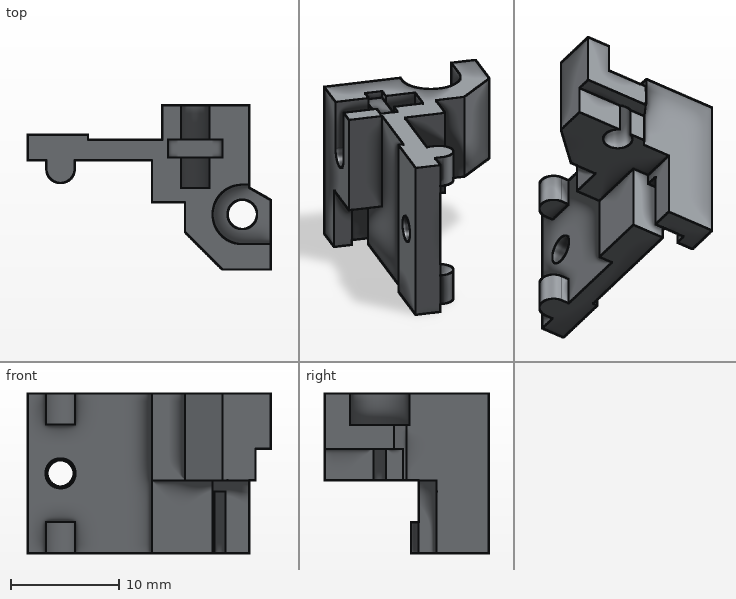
import cadquery as cq

TOTAL_LENGTH = 22.5
TOTAL_DEPTH = 15.2
HEIGHT = 14.8
MID_HEIGHT = HEIGHT / 2

PLATE_FRONT_Y = -5.1
PAD_LENGTH = 5.6
PAD_REAR_Y = -2.72
PLATE_REAR_Y = -3.2

POST_X = 3.05
POST_RADIUS = 1.325
POST_TIP_Y = -7.21
POST_HEIGHT = 2.9
PLATE_HOLE_FRONT_DIAMETER = 2.77
PLATE_HOLE_REAR_DIAMETER = 2.42

BLOCK_LEFT_X = 11.5
BLOCK_REAR_LEFT_X = 12.45
BLOCK_RIGHT_X = 20.5
BLOCK_FRONT_Y = -9.0
UPPER_BOTTOM_Z = 6.75

ARM_LEFT_X = 14.55
ARM_CHAMFER = 3.45
ARM_SLANT_START_Y = -7.63
ARM_SLANT_END_Y = -8.77
ARM_STEP_X = 21.07
ARM_STEP_Z = 9.65

SCREW_X = 19.85
SCREW_Y = -10.1
SCREW_HOLE_DIAMETER = 2.7
POCKET_RADIUS = 2.75
POCKET_DEPTH = 2.93

SLOT_X = 15.5
SLOT_RADIUS = 1.31
SLOT_FRONT_Y = -7.67
SLOT_DEPTH = 6.0
SLOT_AXIS_Z = HEIGHT - SLOT_DEPTH + SLOT_RADIUS
BAR_LENGTH = 5.0
BAR_REAR_Y = -3.2
BAR_FRONT_Y = -4.85
BAR_RECESS = 0.65

FOOT_RIGHT_X = 17.1
FOOT_FRONT_Y = -6.5
LEG_TOP_Z = 5.7
LEG_REAR_LEFT_X = 17.25
LEG_FRONT_LEFT_X = 18.3
LEG_STEP_Y = -1.7


def box(x_min, x_max, y_min, y_max, z_min, z_max):
    """Box between two opposite corners."""
    size = (x_max - x_min, y_max - y_min, z_max - z_min)
    return cq.Workplane("XY").box(*size, centered=False).translate((x_min, y_min, z_min))


def prism(points, z_min, z_max):
    """Vertical prism over an XY outline."""
    return cq.Workplane("XY").workplane(offset=z_min).polyline(points).close().extrude(z_max - z_min)


def make_plate():
    """Plate with a thicker pad at its free end, running into the block."""
    pad = box(0, PAD_LENGTH, PLATE_FRONT_Y, PAD_REAR_Y, 0, HEIGHT)
    web = box(0, FOOT_RIGHT_X, PLATE_FRONT_Y, PLATE_REAR_Y, 0, HEIGHT)
    return pad.union(web)


def make_post(z_min):
    """Post with straight flanks and a half-round tip."""
    arc_y = POST_TIP_Y + POST_RADIUS
    return (
        cq.Workplane("XY")
        .workplane(offset=z_min)
        .moveTo(POST_X - POST_RADIUS, PLATE_REAR_Y)
        .lineTo(POST_X - POST_RADIUS, arc_y)
        .threePointArc((POST_X, POST_TIP_Y), (POST_X + POST_RADIUS, arc_y))
        .lineTo(POST_X + POST_RADIUS, PLATE_REAR_Y)
        .close()
        .extrude(POST_HEIGHT)
    )


def make_plate_hole():
    """Cone through the pad, wider at the front."""
    return (
        cq.Workplane("XZ", origin=(POST_X, PAD_REAR_Y, MID_HEIGHT))
        .circle(PLATE_HOLE_REAR_DIAMETER / 2)
        .workplane(offset=PAD_REAR_Y - PLATE_FRONT_Y)
        .circle(PLATE_HOLE_FRONT_DIAMETER / 2)
        .loft(ruled=True)
    )


def make_upper_block():
    """Block and arm above the lower half, with the underside step at the arm's end."""
    outline = [
        (BLOCK_REAR_LEFT_X, 0),
        (BLOCK_RIGHT_X, 0),
        (BLOCK_RIGHT_X, ARM_SLANT_START_Y),
        (TOTAL_LENGTH, ARM_SLANT_END_Y),
        (TOTAL_LENGTH, -TOTAL_DEPTH),
        (ARM_LEFT_X + ARM_CHAMFER, -TOTAL_DEPTH),
        (ARM_LEFT_X, ARM_CHAMFER - TOTAL_DEPTH),
        (ARM_LEFT_X, BLOCK_FRONT_Y),
        (BLOCK_LEFT_X, BLOCK_FRONT_Y),
        (BLOCK_LEFT_X, PLATE_REAR_Y),
        (BLOCK_REAR_LEFT_X, PLATE_REAR_Y),
    ]
    step = box(ARM_STEP_X, TOTAL_LENGTH, -TOTAL_DEPTH, 0, UPPER_BOTTOM_Z, ARM_STEP_Z)
    return prism(outline, UPPER_BOTTOM_Z, HEIGHT).cut(step)


def make_lower_block():
    """Web under the block, the front foot and the L-shaped leg."""
    web = box(BLOCK_REAR_LEFT_X, BLOCK_RIGHT_X, BAR_FRONT_Y, 0, LEG_TOP_Z, UPPER_BOTTOM_Z)
    foot = box(BLOCK_LEFT_X, FOOT_RIGHT_X, FOOT_FRONT_Y, PLATE_REAR_Y, 0, UPPER_BOTTOM_Z)
    leg_outline = [
        (LEG_REAR_LEFT_X, 0),
        (BLOCK_RIGHT_X, 0),
        (BLOCK_RIGHT_X, BAR_FRONT_Y),
        (LEG_FRONT_LEFT_X, BAR_FRONT_Y),
        (LEG_FRONT_LEFT_X, LEG_STEP_Y),
        (LEG_REAR_LEFT_X, LEG_STEP_Y),
    ]
    return web.union(foot).union(prism(leg_outline, 0, LEG_TOP_Z))


def make_arm_pocket():
    """Round-ended pocket open toward +X, with a screw hole through its floor."""
    floor_z = HEIGHT - POCKET_DEPTH
    round_end = (
        cq.Workplane("XY", origin=(SCREW_X, SCREW_Y, floor_z)).circle(POCKET_RADIUS).extrude(POCKET_DEPTH)
    )
    opening = box(
        SCREW_X, TOTAL_LENGTH, SCREW_Y - POCKET_RADIUS, SCREW_Y + POCKET_RADIUS, floor_z, HEIGHT
    )
    hole = cq.Workplane("XY", origin=(SCREW_X, SCREW_Y, 0)).circle(SCREW_HOLE_DIAMETER / 2).extrude(HEIGHT)
    return round_end.union(opening).union(hole)


def make_slot():
    """Slot open at the top and rear, interrupted by a bar that sits in a shallow recess."""
    bottom = (
        cq.Workplane("XZ", origin=(SLOT_X, 0, SLOT_AXIS_Z)).circle(SLOT_RADIUS).extrude(-SLOT_FRONT_Y)
    )
    walls = box(SLOT_X - SLOT_RADIUS, SLOT_X + SLOT_RADIUS, SLOT_FRONT_Y, 0, SLOT_AXIS_Z, HEIGHT)
    bar_left_x = SLOT_X - BAR_LENGTH / 2
    bar_right_x = SLOT_X + BAR_LENGTH / 2
    bar_top_z = HEIGHT - BAR_RECESS
    bar = box(bar_left_x, bar_right_x, BAR_FRONT_Y, BAR_REAR_Y, 0, bar_top_z)
    recess = box(bar_left_x, bar_right_x, BAR_FRONT_Y, BAR_REAR_Y, bar_top_z, HEIGHT)
    return bottom.union(walls).cut(bar).union(recess)


result = make_plate().union(make_upper_block()).union(make_lower_block())
for post_bottom_z in (0, HEIGHT - POST_HEIGHT):
    result = result.union(make_post(post_bottom_z))
for cutter in (make_plate_hole(), make_arm_pocket(), make_slot()):
    result = result.cut(cutter)